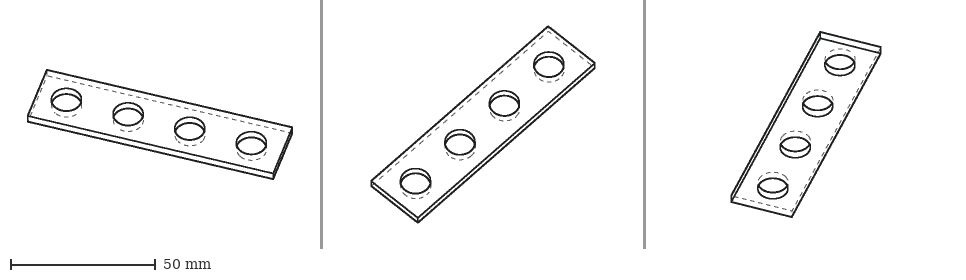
import cadquery as cq

length = 88.9
width = 22.3
thickness = 3.0

hole_count = 4
hole_diameter = 10.4
hole_pitch = width
first_hole_from_end = 10.6

plate = cq.Workplane("XY").box(length, width, thickness)

first_hole_x = -length / 2 + first_hole_from_end
hole_centers = [(first_hole_x + i * hole_pitch, 0) for i in range(hole_count)]

result = plate.faces(">Z").workplane().pushPoints(hole_centers).hole(hole_diameter)